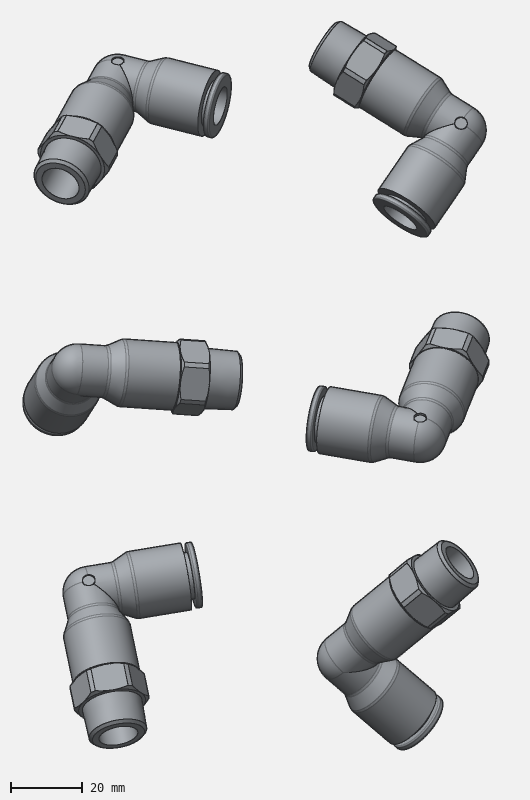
import cadquery as cq
import math


overall_length = 55.0

elbow_radius = 7.25
socket_diameter = 19.0
socket_radius = socket_diameter / 2
cone_start = 7.7
cone_end = 12.25
socket_end = 27.4
cone_blend_radius = 1.75
bore_radius = 5.5

collar_neck_radius = 6.6
collar_radius = 9.25
collar_start = 28.8
collar_end = 30.6
collar_edge_radius = 0.45

nut_gap_radius = 9.0
nut_start = 27.6
nut_end = 35.85
nut_corner_radius = 10.55
nut_chamfer_angle = 30.0

thread_radius = 8.45
thread_end = overall_length - socket_radius
thread_chamfer = 0.8
taper_slope = 1 / 32

recess_radius = 1.75
recess_offset = 0.2
recess_depth = 0.7


def cylinder_along_x(radius, start, end):
    return cq.Workplane("YZ").workplane(offset=start).circle(radius).extrude(end - start)


def revolve_about_x(points):
    """Revolve a closed outline of (axial position, radius) points."""
    return cq.Workplane("XY").polyline(points).close().revolve(360, (0, 0, 0), (1, 0, 0))


def to_thread_side(shape):
    """Turn a shape built along +X so that it runs along -Y."""
    return shape.rotate((0, 0, 0), (0, 0, 1), -90)


def make_socket_arm():
    arm = revolve_about_x([
        (0, 0),
        (0, elbow_radius),
        (cone_start, elbow_radius),
        (cone_end, socket_radius),
        (socket_end, socket_radius),
        (socket_end, 0),
    ])
    cone_rims = arm.edges("%CIRCLE").edges(">>X[1] or >>X[2]")
    return cone_rims.fillet(cone_blend_radius)


def make_collar():
    neck = cylinder_along_x(collar_neck_radius, socket_end, collar_start)
    flange = cylinder_along_x(collar_radius, collar_start, collar_end)
    return neck.union(flange.edges("%CIRCLE").fillet(collar_edge_radius))


def make_nut():
    length = nut_end - nut_start
    corner_distance = socket_radius / math.cos(math.pi / 6)
    hexagon = (
        cq.Workplane("YZ")
        .workplane(offset=nut_start)
        .polygon(6, 2 * corner_distance)
        .extrude(length)
    )
    chamfer_height = nut_corner_radius - socket_radius
    chamfer_length = chamfer_height * math.tan(math.radians(nut_chamfer_angle))
    turned_envelope = revolve_about_x([
        (nut_start, 0),
        (nut_start, socket_radius),
        (nut_start + chamfer_length, nut_corner_radius),
        (nut_end - chamfer_length, nut_corner_radius),
        (nut_end, socket_radius),
        (nut_end, 0),
    ])
    gap = cylinder_along_x(nut_gap_radius, socket_end, nut_start)
    return hexagon.intersect(turned_envelope).union(gap)


def make_thread():
    chamfer_start = thread_end - thread_chamfer
    small_end_radius = thread_radius - (chamfer_start - nut_end) * taper_slope
    return revolve_about_x([
        (nut_end, 0),
        (nut_end, thread_radius),
        (chamfer_start, small_end_radius),
        (thread_end, small_end_radius - thread_chamfer),
        (thread_end, 0),
    ])


def make_bore():
    corner = cq.Workplane("XY").sphere(bore_radius)
    push_in_bore = cylinder_along_x(bore_radius, 0, collar_end)
    thread_bore = to_thread_side(cylinder_along_x(bore_radius, 0, thread_end))
    return corner.union(push_in_bore).union(thread_bore)


def make_recess():
    return (
        cq.Workplane("XY")
        .workplane(offset=elbow_radius - recess_depth)
        .center(0, recess_offset)
        .circle(recess_radius)
        .extrude(2 * recess_depth)
    )


push_in_arm = make_socket_arm().union(make_collar())
threaded_arm = to_thread_side(make_socket_arm().union(make_nut()).union(make_thread()))
elbow_corner = cq.Workplane("XY").sphere(elbow_radius)

result = (
    elbow_corner
    .union(push_in_arm)
    .union(threaded_arm)
    .cut(make_bore())
    .cut(make_recess())
)